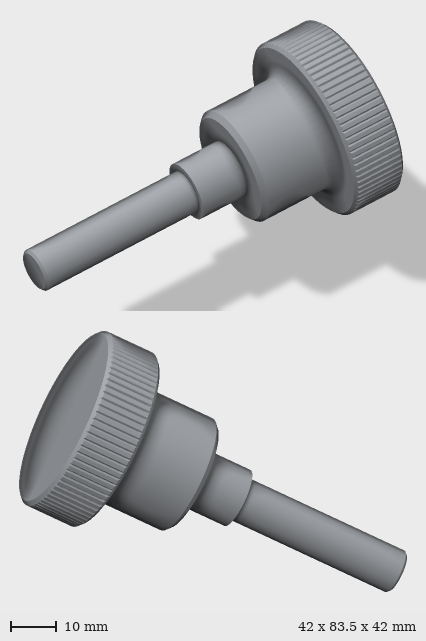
import cadquery as cq
import math

TOTAL_LENGTH = 83.5
HEAD_LENGTH = 12.9
KNOB_LENGTH = 32.0
COLLAR_LENGTH = 11.5

HEAD_RADIUS = 42.0 / 2
HEAD_CHAMFER = 0.8
HUB_RADIUS = 27.05 / 2
HUB_CHAMFER = 1.2
HUB_FILLET = 2.7

GROOVE_COUNT = 80
GROOVE_DEPTH = 0.3
GROOVE_HALF_WIDTH = GROOVE_DEPTH

COLLAR_RADIUS = 13.5 / 2
ROD_RADIUS = 10.0 / 2
ROD_CHAMFER = 0.6


def revolve_about_y(profile):
    """Turn a closed half-profile, drawn in the XY plane, about the Y axis."""
    return profile.close().revolve(360, (0, 0, 0), (0, 1, 0))


def make_knob_blank():
    """Head and hub with chamfered rims and a concave fillet between them."""
    fillet_middle = HUB_FILLET * (1 - math.sqrt(0.5))
    profile = (
        cq.Workplane("XY")
        .lineTo(HEAD_RADIUS - HEAD_CHAMFER, 0)
        .lineTo(HEAD_RADIUS, -HEAD_CHAMFER)
        .lineTo(HEAD_RADIUS, -HEAD_LENGTH + HEAD_CHAMFER)
        .lineTo(HEAD_RADIUS - HEAD_CHAMFER, -HEAD_LENGTH)
        .lineTo(HUB_RADIUS + HUB_FILLET, -HEAD_LENGTH)
        .threePointArc(
            (HUB_RADIUS + fillet_middle, -HEAD_LENGTH - fillet_middle),
            (HUB_RADIUS, -HEAD_LENGTH - HUB_FILLET),
        )
        .lineTo(HUB_RADIUS, -KNOB_LENGTH + HUB_CHAMFER)
        .lineTo(HUB_RADIUS - HUB_CHAMFER, -KNOB_LENGTH)
        .lineTo(0, -KNOB_LENGTH)
    )
    return revolve_about_y(profile)


def make_groove_cutters():
    """V-shaped bars around the head, one for each knurl groove."""
    overrun = GROOVE_DEPTH
    root_radius = HEAD_RADIUS - GROOVE_DEPTH
    outer_radius = HEAD_RADIUS + overrun
    outer_half_width = GROOVE_HALF_WIDTH * (GROOVE_DEPTH + overrun) / GROOVE_DEPTH
    bar = (
        cq.Workplane("XZ")
        .moveTo(root_radius, 0)
        .lineTo(outer_radius, outer_half_width)
        .lineTo(outer_radius, -outer_half_width)
        .close()
        .extrude(HEAD_LENGTH)
        .val()
    )
    pitch_angle = 360 / GROOVE_COUNT
    return [
        bar.rotate(cq.Vector(0, 0, 0), cq.Vector(0, 1, 0), index * pitch_angle)
        for index in range(GROOVE_COUNT)
    ]


def make_knob():
    """Knob with its knurled rim."""
    cutters = cq.Compound.makeCompound(make_groove_cutters())
    return make_knob_blank().cut(cq.Workplane(obj=cutters)).solids()


def make_stud():
    """Collar and chamfered rod, starting at the front face of the hub."""
    collar_end = -KNOB_LENGTH - COLLAR_LENGTH
    profile = (
        cq.Workplane("XY")
        .moveTo(0, -KNOB_LENGTH)
        .lineTo(COLLAR_RADIUS, -KNOB_LENGTH)
        .lineTo(COLLAR_RADIUS, collar_end)
        .lineTo(ROD_RADIUS, collar_end)
        .lineTo(ROD_RADIUS, -TOTAL_LENGTH + ROD_CHAMFER)
        .lineTo(ROD_RADIUS - ROD_CHAMFER, -TOTAL_LENGTH)
        .lineTo(0, -TOTAL_LENGTH)
    )
    return revolve_about_y(profile)


knob = make_knob()
stud = make_stud()

result = cq.Compound.makeCompound([knob.val(), stud.val()])